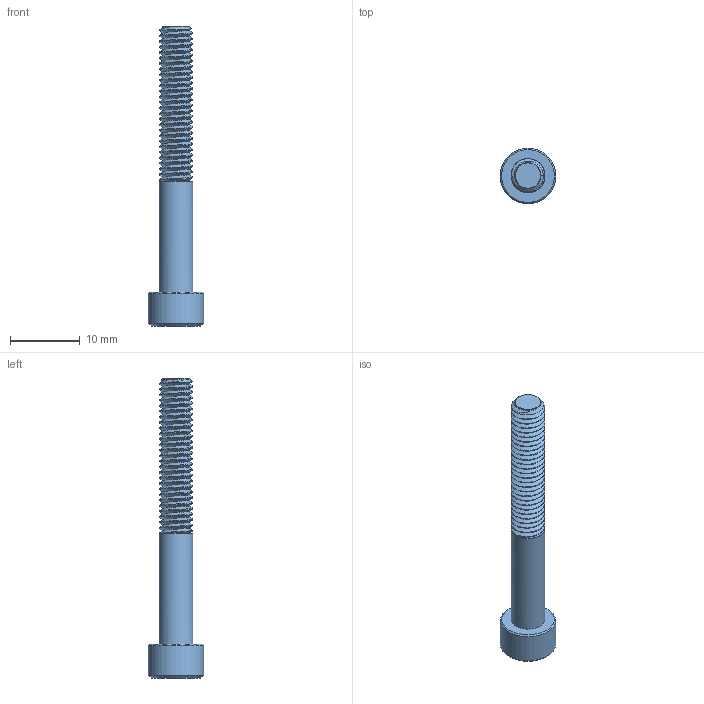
import cadquery as cq
import math

INCH = 25.4

nominal_diameter = 0.190 * INCH
shank_length = 1.5 * INCH
thread_length = 0.875 * INCH
pitch = INCH / 32
head_diameter = 0.3125 * INCH
head_chamfer = 0.42
bearing_edge_chamfer = 0.20
tip_chamfer = 0.61
crest_relief = 0.002
crest_depth_at_tip = 0.22

shank_radius = nominal_diameter / 2
head_radius = head_diameter / 2
head_height = nominal_diameter
tip_z = head_height + shank_length
thread_start_z = tip_z - thread_length

flank_slope = math.tan(math.radians(30))
crest_width = pitch / 8
root_width = pitch / 12
thread_depth = (pitch - crest_width - root_width) / (2 * flank_slope)
crest_radius = shank_radius - crest_relief
root_radius = shank_radius - thread_depth
ridge_embedment = 0.02
overrun_turns = 1


def make_head():
    """Revolved head with a chamfer at each rim."""
    return (
        cq.Workplane("XZ")
        .moveTo(0, 0)
        .lineTo(head_radius - head_chamfer, 0)
        .lineTo(head_radius, head_chamfer)
        .lineTo(head_radius, head_height - bearing_edge_chamfer)
        .lineTo(head_radius - bearing_edge_chamfer, head_height)
        .lineTo(0, head_height)
        .close()
        .revolve()
    )


def make_plain_shank():
    """Unthreaded cylinder between the head and the thread."""
    return (
        cq.Workplane("XY", origin=(0, 0, head_height))
        .circle(shank_radius)
        .extrude(thread_start_z - head_height)
    )


def make_thread_ridge():
    """Right-hand helical ridge that overruns both ends of the threaded length."""
    turns = math.ceil(thread_length / pitch) + 2 * overrun_turns
    start_z = tip_z - crest_depth_at_tip + (overrun_turns - turns) * pitch
    helix = cq.Wire.makeHelix(pitch, turns * pitch, root_radius, center=cq.Vector(0, 0, start_z))

    base_radius = root_radius - ridge_embedment
    half_crest = crest_width / 2
    half_base = half_crest + (crest_radius - base_radius) * flank_slope
    return (
        cq.Workplane("XZ")
        .moveTo(base_radius, start_z - half_base)
        .lineTo(crest_radius, start_z - half_crest)
        .lineTo(crest_radius, start_z + half_crest)
        .lineTo(base_radius, start_z + half_base)
        .close()
        .sweep(cq.Workplane(helix), isFrenet=True)
    )


def make_thread_envelope():
    """Wide cylinder with a 45 degree cone on top: sets the thread's flat start and its bevelled tip."""
    tip_radius = shank_radius - tip_chamfer
    envelope_radius = head_radius
    cone_height = envelope_radius - tip_radius
    return (
        cq.Workplane("XZ")
        .moveTo(0, thread_start_z)
        .lineTo(envelope_radius, thread_start_z)
        .lineTo(envelope_radius, tip_z - cone_height)
        .lineTo(tip_radius, tip_z)
        .lineTo(0, tip_z)
        .close()
        .revolve()
    )


def make_thread_core(envelope):
    """Root cylinder of the thread, bevelled at the tip."""
    return (
        cq.Workplane("XY", origin=(0, 0, thread_start_z))
        .circle(root_radius)
        .extrude(thread_length)
        .intersect(envelope)
    )


thread_envelope = make_thread_envelope()
smooth_body = make_head().union(make_plain_shank()).union(make_thread_core(thread_envelope))
thread_ridge = make_thread_ridge().intersect(thread_envelope, clean=False)
result = smooth_body.union(thread_ridge, clean=False)